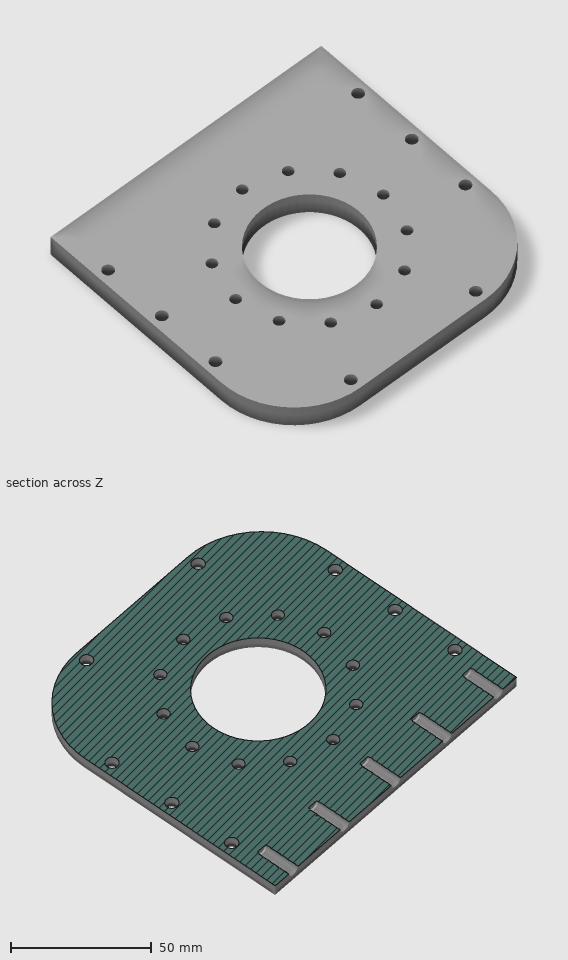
import cadquery as cq
import math

PLATE_WIDTH = 130.0
PLATE_LENGTH = 125.0
PLATE_THICKNESS = 10.0
CORNER_RADIUS = 35.0

BORE_DIAMETER = 48.0
BORE_TO_STRAIGHT_EDGE = 65.3
RING_RADIUS = 35.5
RING_HOLE_COUNT = 12
RING_HOLE_DIAMETER = 4.5

EDGE_HOLE_DIAMETER = 5.0
EDGE_INSET = 5.0
FIRST_SIDE_HOLE_OFFSET = 25.0
SIDE_HOLE_PITCH = 28.3
SIDE_HOLE_COUNT = 3
END_HOLE_SPACING = 60.0

TAPPED_CORE_DIAMETER = 4.3
THREAD_DIAMETER = 5.1
THREAD_PITCH = 0.8
TAPPED_HOLE_PITCH = 27.5
TAPPED_HOLE_COUNT = 5
TAPPED_HOLE_DEPTH = 3 * THREAD_DIAMETER

STRAIGHT_EDGE_X = -BORE_TO_STRAIGHT_EDGE
ROUNDED_EDGE_X = STRAIGHT_EDGE_X + PLATE_LENGTH
SIDE_EDGE_Y = PLATE_WIDTH / 2


def make_plate():
    """Flat plate with its two +X corners rounded, resting on Z = 0."""
    plate_center_x = (STRAIGHT_EDGE_X + ROUNDED_EDGE_X) / 2
    return (
        cq.Workplane("XY")
        .center(plate_center_x, 0)
        .rect(PLATE_LENGTH, PLATE_WIDTH)
        .extrude(PLATE_THICKNESS)
        .edges("|Z and >X")
        .fillet(CORNER_RADIUS)
    )


def make_bore():
    return cq.Workplane("XY").circle(BORE_DIAMETER / 2).extrude(PLATE_THICKNESS)


def make_ring_holes():
    return (
        cq.Workplane("XY")
        .polarArray(RING_RADIUS, 0, 360, RING_HOLE_COUNT)
        .circle(RING_HOLE_DIAMETER / 2)
        .extrude(PLATE_THICKNESS)
    )


def make_edge_holes():
    """Three holes along each side edge and two along the rounded end."""
    side_y = SIDE_EDGE_Y - EDGE_INSET
    end_x = ROUNDED_EDGE_X - EDGE_INSET
    first_side_x = STRAIGHT_EDGE_X + FIRST_SIDE_HOLE_OFFSET
    points = []
    for side in (-1, 1):
        for index in range(SIDE_HOLE_COUNT):
            points.append((first_side_x + index * SIDE_HOLE_PITCH, side * side_y))
        points.append((end_x, side * END_HOLE_SPACING / 2))
    return (
        cq.Workplane("XY")
        .pushPoints(points)
        .circle(EDGE_HOLE_DIAMETER / 2)
        .extrude(PLATE_THICKNESS)
    )


def make_tapped_hole():
    """Solid of one tapped hole along +X: a round core ringed by V-shaped thread grooves."""
    core_radius = TAPPED_CORE_DIAMETER / 2
    thread_radius = THREAD_DIAMETER / 2
    groove_count = math.floor(TAPPED_HOLE_DEPTH / THREAD_PITCH)
    profile = cq.Workplane("XY")
    for index in range(groove_count):
        root_x = index * THREAD_PITCH
        crest_x = root_x + THREAD_PITCH / 2
        profile = profile.lineTo(root_x, thread_radius).lineTo(crest_x, core_radius)
    return (
        profile.lineTo(TAPPED_HOLE_DEPTH, core_radius)
        .lineTo(TAPPED_HOLE_DEPTH, 0)
        .close()
        .revolve(360, (0, 0, 0), (1, 0, 0))
        .val()
    )


def make_tapped_holes():
    """Row of tapped holes running in +X from the straight edge at mid thickness."""
    tapped_hole = make_tapped_hole()
    first_y = -(TAPPED_HOLE_COUNT - 1) / 2 * TAPPED_HOLE_PITCH
    holes = cq.Workplane("XY")
    for index in range(TAPPED_HOLE_COUNT):
        mouth = cq.Vector(STRAIGHT_EDGE_X, first_y + index * TAPPED_HOLE_PITCH, PLATE_THICKNESS / 2)
        holes = holes.add(tapped_hole.translate(mouth))
    return holes.combine()


result = (
    make_plate()
    .cut(make_bore())
    .cut(make_ring_holes())
    .cut(make_edge_holes())
    .cut(make_tapped_holes())
)